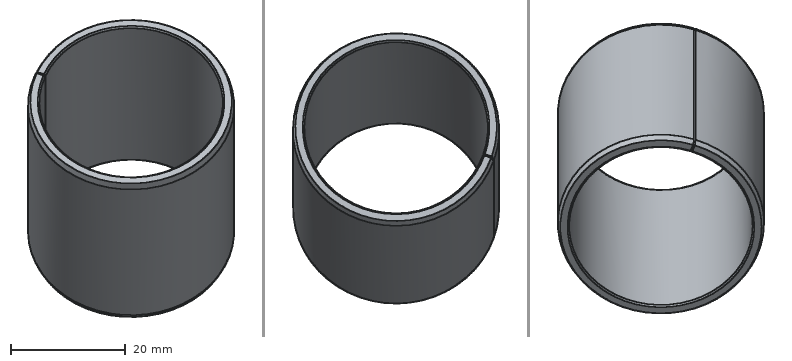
import cadquery as cq
import math

length = 40.0
outer_radius = 18.0
bore_radius = 16.0
outer_chamfer_length = 1.2
outer_chamfer_angle = 20.0
bore_chamfer = 0.3
slit_angle = 1.0

outer_chamfer_depth = outer_chamfer_length * math.tan(math.radians(outer_chamfer_angle))
end_outer_radius = outer_radius - outer_chamfer_depth
end_bore_radius = bore_radius + bore_chamfer
half_length = length / 2

wall_section = (
    cq.Workplane("XZ")
    .moveTo(-bore_radius, -half_length + bore_chamfer)
    .lineTo(-end_bore_radius, -half_length)
    .lineTo(-end_outer_radius, -half_length)
    .lineTo(-outer_radius, -half_length + outer_chamfer_length)
    .lineTo(-outer_radius, half_length - outer_chamfer_length)
    .lineTo(-end_outer_radius, half_length)
    .lineTo(-end_bore_radius, half_length)
    .lineTo(-bore_radius, half_length - bore_chamfer)
    .close()
)

result = wall_section.revolve(360 - slit_angle, (0, 0, 0), (0, 1, 0))